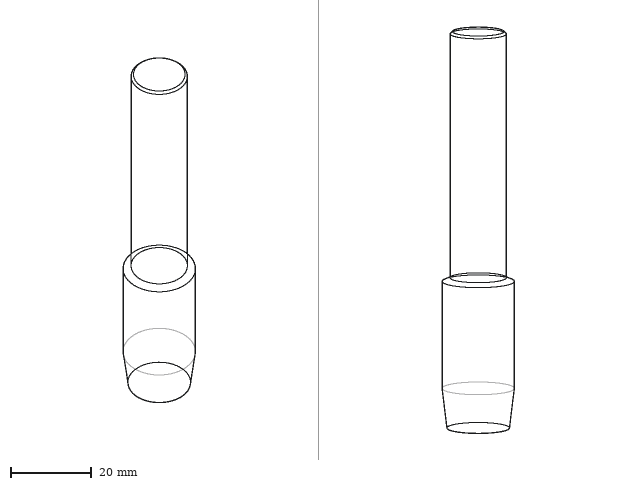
import cadquery as cq

total_length = 100.0
shank_diameter = 14.0
shank_chamfer = 0.6
head_diameter = 18.0
barrel_top = 37.0
shoulder_height = 0.9
tip_diameter = 15.6
tip_length = 10.0

shank_radius = shank_diameter / 2
head_radius = head_diameter / 2
tip_radius = tip_diameter / 2
head_length = barrel_top + shoulder_height
shank_length = total_length - head_length


def make_head():
    """Turned head: tapered tip, cylindrical barrel and conical shoulder up to the shank."""
    profile = (
        cq.Workplane("XZ")
        .lineTo(tip_radius, 0)
        .lineTo(head_radius, tip_length)
        .lineTo(head_radius, barrel_top)
        .lineTo(shank_radius, head_length)
        .lineTo(0, head_length)
        .close()
    )
    return profile.revolve(360, (0, 0, 0), (0, 1, 0))


def make_shank():
    """Round shank standing on the head, chamfered at its upper end."""
    return (
        cq.Workplane("XY", origin=(0, 0, head_length))
        .circle(shank_radius)
        .extrude(shank_length)
        .faces(">Z")
        .chamfer(shank_chamfer)
    )


head = make_head()
shank = make_shank()

result = cq.Compound.makeCompound([head.val(), shank.val()])